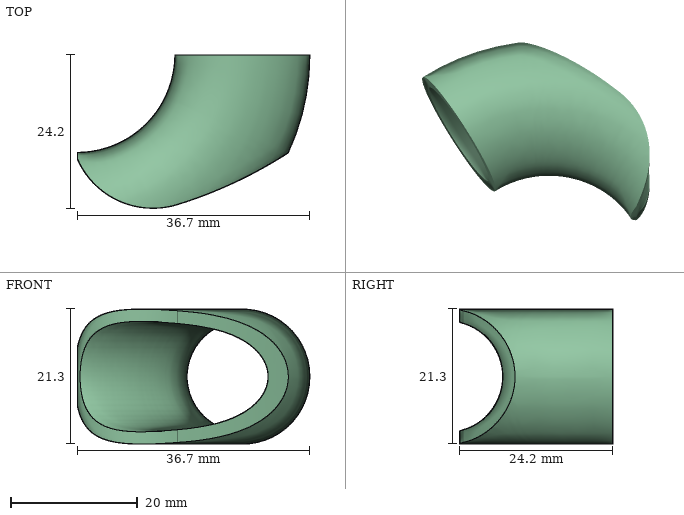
import cadquery as cq
import math

overall_length = 36.65
pipe_diameter = 21.3
wall_thickness = 1.95

outer_radius = pipe_diameter / 2
bore_radius = outer_radius - wall_thickness
bend_radius = overall_length - outer_radius

mouth_depth = 24.2
tight_arc_radius = 13.0
tight_arc_center_x = 11.9
tangent_x = 15.75
shallow_arc_radius = 70.35


def arc_point(center, radius, angle):
    """Point at an angle (radians) on a circle in the XY plane."""
    return (center[0] + radius * math.cos(angle), center[1] + radius * math.sin(angle))


def quarter_bend(section_radius):
    """Solid quarter torus from the +X axis down to the -Y axis."""
    return (
        cq.Workplane("XZ")
        .center(bend_radius, 0)
        .circle(section_radius)
        .revolve(90, (-bend_radius, 0), (-bend_radius, -1))
    )


def mouth_keeper():
    """Prism whose lower boundary is the mouth profile."""
    tight_center = (tight_arc_center_x, tight_arc_radius - mouth_depth)
    start_angle = -math.acos(-tight_center[0] / tight_arc_radius)
    tangent_angle = -math.acos((tangent_x - tight_center[0]) / tight_arc_radius)

    shallow_center = arc_point(tight_center, tight_arc_radius - shallow_arc_radius, tangent_angle)
    end_angle = -math.acos((overall_length - shallow_center[0]) / shallow_arc_radius)

    return (
        cq.Workplane("XY")
        .moveTo(0, 0)
        .lineTo(*arc_point(tight_center, tight_arc_radius, start_angle))
        .threePointArc(
            arc_point(tight_center, tight_arc_radius, (start_angle + tangent_angle) / 2),
            arc_point(tight_center, tight_arc_radius, tangent_angle),
        )
        .threePointArc(
            arc_point(shallow_center, shallow_arc_radius, (tangent_angle + end_angle) / 2),
            arc_point(shallow_center, shallow_arc_radius, end_angle),
        )
        .lineTo(overall_length, 0)
        .close()
        .extrude(outer_radius, both=True)
    )


elbow = quarter_bend(outer_radius).cut(quarter_bend(bore_radius))
result = elbow.intersect(mouth_keeper())